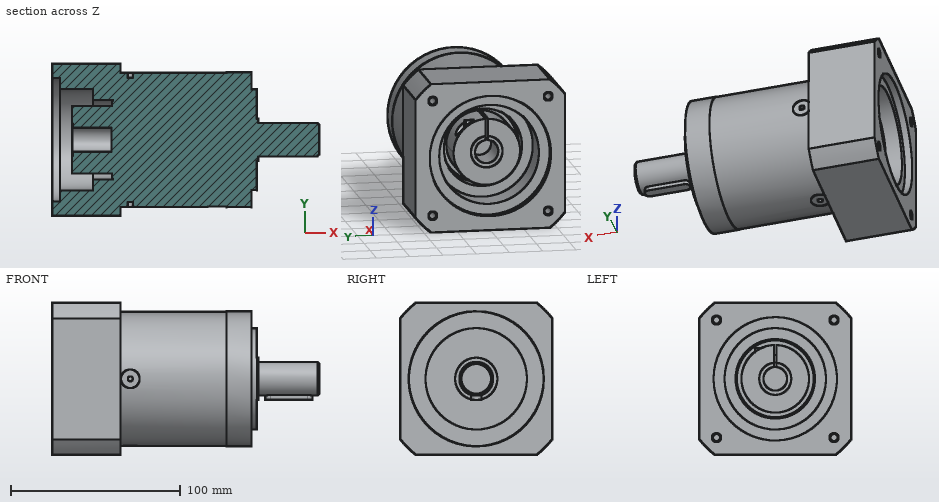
import cadquery as cq


PLATE_SIZE = 90.0
PLATE_LENGTH = 40.5
PLATE_CORNER_DIAMETER = 115.0
MOUNT_HOLE_SPACING = 69.5
MOUNT_HOLE_DIAMETER = 4.3
MOUNT_HOLE_MOUTH_DIAMETER = 5.3
MOUNT_HOLE_CHAMFER = (MOUNT_HOLE_MOUTH_DIAMETER - MOUNT_HOLE_DIAMETER) / 2
MOUNT_HOLE_DEPTH = 15.0

PILOT_RECESS_DIAMETER = 73.0
PILOT_RECESS_DEPTH = 4.5
HUB_RECESS_DIAMETER = 60.0
HUB_RECESS_DEPTH = 24.0
INNER_RECESS_DIAMETER = 47.0
INNER_RECESS_DEPTH = 36.0

HUB_DIAMETER = 40.0
HUB_FACE_X = 11.6
HUB_SHOULDER_FACE_DIAMETER = 45.5
HUB_SHOULDER_CHAMFER = (INNER_RECESS_DIAMETER - HUB_SHOULDER_FACE_DIAMETER) / 2
SHAFT_BORE_DIAMETER = 14.0
SHAFT_BORE_END_X = 35.0
SLEEVE_DIAMETER = 19.0
SLEEVE_SETBACK = 0.5
SLOT_WIDTH = 1.5
SLOT_STEP_Z = 14.1
LOWER_SLOT_DEPTH = 18.0
SLEEVE_SLOT_DEPTH = 12.0

SCREW_X = HUB_FACE_X + 5.5
SCREW_Z = 14.1
SCREW_HEAD_DIAMETER = 8.5
SCREW_HEAD_SEAT_Y = 7.0
SCREW_HEAD_END_Y = 12.0
SCREW_COUNTERBORE_DIAMETER = 9.0

HOUSING_DIAMETER = 79.6
FLANGE_DIAMETER = 80.0
FLANGE_START_X = 103.0
FLANGE_END_X = 118.0
PILOT_DIAMETER = 60.0
PILOT_END_X = 121.0
COLLAR_DIAMETER = 25.0
COLLAR_END_X = 122.0
SHAFT_DIAMETER = 20.0
SHAFT_END_X = 158.0
SHAFT_CHAMFER = 1.2

PLUG_DIAMETER = 11.0
PLUG_HOLE_DIAMETER = 3.0
PLUG_HOLE_DEPTH = 3.0
PLUG_PLATE_GAP = 0.2
PLUG_X = PLATE_LENGTH + PLUG_PLATE_GAP + PLUG_DIAMETER / 2
PLUG_FACE_RADIUS = HOUSING_DIAMETER / 2
PLUG_ROOT_RADIUS = 38.0
PLUG_COUNT = 4

KEY_START_X = 126.0
KEY_LENGTH = 28.0
KEY_WIDTH = 6.0
KEY_TOP_RADIUS = 12.5
KEY_ROOT_RADIUS = 6.5


def cylinder_x(diameter, start, end):
    """Solid cylinder on the gearbox axis between two X positions."""
    return cq.Workplane("YZ", origin=(start, 0, 0)).circle(diameter / 2).extrude(end - start)


def cylinder_y(diameter, start, end):
    """Solid cylinder on the clamp screw axis between two Y positions."""
    plane = cq.Workplane("XZ", origin=(SCREW_X, start, SCREW_Z))
    return plane.circle(diameter / 2).extrude(start - end)


def make_plate():
    """Square plate with its corners turned to a larger diameter."""
    square = cq.Workplane("YZ").rect(PLATE_SIZE, PLATE_SIZE).extrude(PLATE_LENGTH)
    plate = square.intersect(cylinder_x(PLATE_CORNER_DIAMETER, 0, PLATE_LENGTH))
    mouth_radius = MOUNT_HOLE_MOUTH_DIAMETER / 2
    hole_radius = MOUNT_HOLE_DIAMETER / 2
    hole = (
        cq.Workplane("XY")
        .lineTo(0, mouth_radius)
        .lineTo(MOUNT_HOLE_CHAMFER, hole_radius)
        .lineTo(MOUNT_HOLE_DEPTH, hole_radius)
        .lineTo(MOUNT_HOLE_DEPTH, 0)
        .close()
        .revolve(360, (0, 0, 0), (1, 0, 0))
    )
    offset = MOUNT_HOLE_SPACING / 2
    for y in (-offset, offset):
        for z in (-offset, offset):
            plate = plate.cut(hole.translate((0, y, z)))
    return plate


def make_recess():
    """Stepped cavity open to the mounting face."""
    return (
        cylinder_x(PILOT_RECESS_DIAMETER, 0, PILOT_RECESS_DEPTH)
        .union(cylinder_x(HUB_RECESS_DIAMETER, 0, HUB_RECESS_DEPTH))
        .union(cylinder_x(INNER_RECESS_DIAMETER, HUB_RECESS_DEPTH, INNER_RECESS_DEPTH))
    )


def slot_cutter(bottom, top, depth):
    """Narrow slot above the axis between two heights, cut back from the hub face."""
    slot = cq.Workplane("XY").box(depth, SLOT_WIDTH, top - bottom, centered=(False, True, False))
    return slot.translate((HUB_FACE_X, 0, bottom))


def make_hub():
    """Split clamping hub with a set-back sleeve, a chamfered shoulder and a clamp screw head."""
    shoulder_x = INNER_RECESS_DEPTH - HUB_SHOULDER_CHAMFER
    sleeve_face_x = HUB_FACE_X + SLEEVE_SETBACK
    sleeve_radius = SLEEVE_DIAMETER / 2
    hub_radius = HUB_DIAMETER / 2
    hub = (
        cylinder_x(HUB_DIAMETER, HUB_FACE_X, shoulder_x)
        .cut(cylinder_x(SLEEVE_DIAMETER, HUB_FACE_X, sleeve_face_x))
        .cut(slot_cutter(SLOT_STEP_Z, hub_radius, shoulder_x - HUB_FACE_X))
        .cut(slot_cutter(sleeve_radius, SLOT_STEP_Z, LOWER_SLOT_DEPTH))
        .cut(slot_cutter(0, sleeve_radius, SLEEVE_SLOT_DEPTH))
        .cut(cylinder_y(SCREW_COUNTERBORE_DIAMETER, SCREW_HEAD_SEAT_Y, hub_radius))
    )
    shoulder = (
        cq.Workplane("YZ", origin=(shoulder_x, 0, 0))
        .circle(HUB_SHOULDER_FACE_DIAMETER / 2)
        .workplane(offset=HUB_SHOULDER_CHAMFER)
        .circle(INNER_RECESS_DIAMETER / 2)
        .loft()
    )
    screw_head = cylinder_y(SCREW_HEAD_DIAMETER, SCREW_HEAD_SEAT_Y, SCREW_HEAD_END_Y)
    return hub.union(shoulder).union(screw_head)


def make_housing():
    """Gearbox housing, output flange, centring pilot, collar and output shaft."""
    shaft = cylinder_x(SHAFT_DIAMETER, COLLAR_END_X, SHAFT_END_X)
    return (
        cylinder_x(HOUSING_DIAMETER, PLATE_LENGTH, FLANGE_START_X)
        .union(cylinder_x(FLANGE_DIAMETER, FLANGE_START_X, FLANGE_END_X))
        .union(cylinder_x(PILOT_DIAMETER, FLANGE_END_X, PILOT_END_X))
        .union(cylinder_x(COLLAR_DIAMETER, PILOT_END_X, COLLAR_END_X))
        .union(shaft.faces(">X").chamfer(SHAFT_CHAMFER))
    )


def add_plugs(body):
    """Flat round plugs with a blind centre hole, spaced around the housing."""
    plug = (
        cq.Workplane("XY", origin=(PLUG_X, 0, PLUG_ROOT_RADIUS))
        .circle(PLUG_DIAMETER / 2)
        .extrude(PLUG_FACE_RADIUS - PLUG_ROOT_RADIUS)
    )
    hole = (
        cq.Workplane("XY", origin=(PLUG_X, 0, PLUG_FACE_RADIUS - PLUG_HOLE_DEPTH))
        .circle(PLUG_HOLE_DIAMETER / 2)
        .extrude(PLUG_HOLE_DEPTH)
    )
    for index in range(PLUG_COUNT):
        angle = index * 360 / PLUG_COUNT
        body = body.union(plug.rotate((0, 0, 0), (1, 0, 0), angle))
        body = body.cut(hole.rotate((0, 0, 0), (1, 0, 0), angle))
    return body


def make_key():
    """Round-ended key standing out of the shaft towards -Z."""
    return (
        cq.Workplane("XY", origin=(KEY_START_X + KEY_LENGTH / 2, 0, -KEY_TOP_RADIUS))
        .slot2D(KEY_LENGTH, KEY_WIDTH)
        .extrude(KEY_TOP_RADIUS - KEY_ROOT_RADIUS)
    )


body = make_plate().cut(make_recess()).union(make_housing())
body = add_plugs(body).union(make_key()).union(make_hub())
shaft_bore = cylinder_x(SHAFT_BORE_DIAMETER, HUB_FACE_X, SHAFT_BORE_END_X)
result = body.cut(shaft_bore)